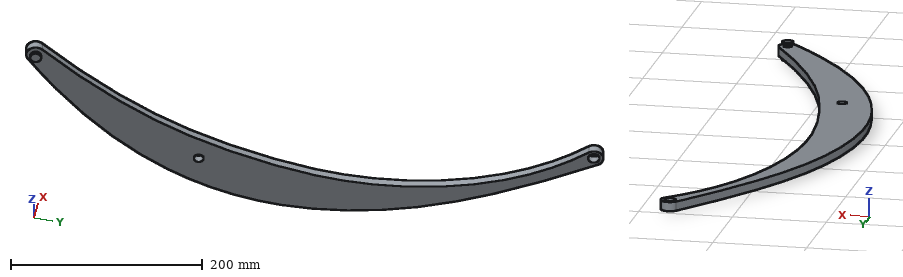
import cadquery as cq
import math

length = 620.0
eye_radius = 10.0
plate_thickness = 10.0
pin_length = 20.0
eye_spacing = length - 2 * eye_radius

eye_hole_diameter = 12.0
middle_hole_diameter = 10.0
middle_hole_center = (-100.0, 200.0)
pin_head_diameter = 12.0
pin_neck_diameter = 8.5
pin_head_thickness = 2.5

upper_outer_angle = 140
upper_inner_angle = -43
lower_outer_angle = 223
lower_inner_angle = 30

outer_edge = [(-75.0, 508.5), (-113.0, 433.5), (-135.0, 359.0), (-142.5, 287.5),
              (-133.0, 209.5), (-106.5, 134.5), (-62.0, 59.5)]
inner_edge = [(-30.0, 75.0), (-66.0, 164.0), (-86.0, 254.0), (-93.5, 344.0),
              (-79.0, 449.0), (-48.5, 523.0)]


def eye_point(center_y, angle):
    """Point on the rim of an eye centred at (0, center_y)."""
    direction = math.radians(angle)
    return (eye_radius * math.cos(direction), center_y + eye_radius * math.sin(direction))


def make_plate():
    upper_outer = eye_point(eye_spacing, upper_outer_angle)
    upper_inner = eye_point(eye_spacing, upper_inner_angle)
    lower_outer = eye_point(0, lower_outer_angle)
    lower_inner = eye_point(0, lower_inner_angle)
    upper_middle = eye_point(eye_spacing, (upper_outer_angle + upper_inner_angle) / 2)
    lower_middle = eye_point(0, (lower_outer_angle + lower_inner_angle - 360) / 2)
    return (
        cq.Workplane("XY")
        .workplane(offset=-plate_thickness / 2)
        .moveTo(*upper_outer)
        .spline(outer_edge + [lower_outer], includeCurrent=True)
        .threePointArc(lower_middle, lower_inner)
        .spline(inner_edge + [upper_inner], includeCurrent=True)
        .threePointArc(upper_middle, upper_outer)
        .close()
        .extrude(plate_thickness)
    )


def centered_cylinder(diameter, height, center=(0, 0), z=0):
    """Vertical cylinder with its middle at height z."""
    return cq.Workplane("XY").cylinder(height, diameter / 2).translate((*center, z))


def make_pin():
    pin = centered_cylinder(pin_neck_diameter, pin_length)
    head_height = (pin_length - pin_head_thickness) / 2
    for side in (-1, 1):
        head = centered_cylinder(pin_head_diameter, pin_head_thickness, z=side * head_height)
        pin = pin.union(head)
    return pin


upper_eye_hole = centered_cylinder(eye_hole_diameter, plate_thickness, (0, eye_spacing))
middle_hole = centered_cylinder(middle_hole_diameter, plate_thickness, middle_hole_center)

result = make_plate().cut(upper_eye_hole).cut(middle_hole).union(make_pin())